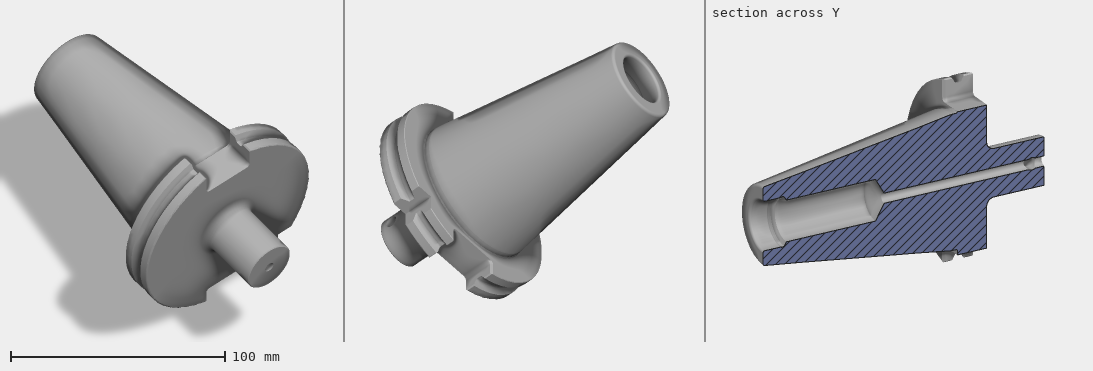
import cadquery as cq
import math


gauge_x = 101.5
flange_start_x = 104.8
flange_end_x = 120.7
total_length = 151.6
flange_width = flange_end_x - flange_start_x

gauge_radius = 69.9 / 2
taper_ratio = 7 / 24
nose_radius = gauge_radius - gauge_x * taper_ratio / 2
nose_fillet = 1.5
root_fillet = 0.6

flange_radius = 97.3 / 2
flange_front_chamfer = 0.3
flange_back_fillet = 0.8
groove_center_x = 112.6
groove_floor_width = 3.0
groove_depth = 3.2
groove_half_angle = math.radians(30)
groove_fillet = 0.8
groove_floor_radius = flange_radius - groove_depth

slot_width = 25.8
slot_floor_top = 35.5
slot_floor_bottom = 37.7
slot_fillet = 2.0
slot_face_chamfer = 1.0
slot_rim_chamfer = 0.8

notch_corner = 29.9

shank_radius = 25.0 / 2
shank_fillet = 3.8
shank_end_chamfer = 0.5

bore_radius = 25.0 / 2
bore_mouth_fillet = 1.2
relief_radius = 25.5 / 2
relief_start_x = 9.5
relief_slope_length = 0.6
relief_floor_length = 0.8
thread_hole_radius = 21.0 / 2
thread_hole_end_x = 60.6
drill_half_angle = math.radians(60)
coolant_diameter = 5.0

side_hole_diameter = 6.0
side_hole_x = 145.0


def revolve_about_x(profile):
    return profile.close().revolve(360, (0, 0, 0), (1, 0, 0))


def make_taper():
    cone = revolve_about_x(
        cq.Workplane("XY")
        .lineTo(0, nose_radius)
        .lineTo(gauge_x, gauge_radius)
        .lineTo(flange_start_x, gauge_radius)
        .lineTo(flange_start_x, 0)
    )
    cone = cone.faces("<X").edges().fillet(nose_fillet)
    root = revolve_about_x(
        cq.Workplane("XY")
        .moveTo(flange_start_x, gauge_radius)
        .lineTo(flange_start_x - root_fillet, gauge_radius)
        .radiusArc((flange_start_x, gauge_radius + root_fillet), -root_fillet)
    )
    return cone.union(root)


def make_flange():
    disc = (
        cq.Workplane("YZ", origin=(flange_start_x, 0, 0))
        .circle(flange_radius)
        .extrude(flange_width)
    )
    disc = disc.faces("<X").edges().chamfer(flange_front_chamfer)
    disc = disc.faces(">X").edges().fillet(flange_back_fillet)
    return disc.cut(make_v_groove())


def make_v_groove():
    half_floor = groove_floor_width / 2
    half_mouth = half_floor + groove_depth * math.tan(groove_half_angle)
    groove = revolve_about_x(
        cq.Workplane("XY")
        .moveTo(groove_center_x - half_mouth, flange_radius)
        .lineTo(groove_center_x - half_floor, groove_floor_radius)
        .lineTo(groove_center_x + half_floor, groove_floor_radius)
        .lineTo(groove_center_x + half_mouth, flange_radius)
    )
    floor_edges = cq.selectors.RadiusNthSelector(0)
    return groove.edges("%CIRCLE").edges(floor_edges).fillet(groove_fillet)


def make_shank():
    return revolve_about_x(
        cq.Workplane("XY")
        .moveTo(flange_end_x, 0)
        .lineTo(flange_end_x, shank_radius + shank_fillet)
        .radiusArc((flange_end_x + shank_fillet, shank_radius), -shank_fillet)
        .lineTo(total_length - shank_end_chamfer, shank_radius)
        .lineTo(total_length, shank_radius - shank_end_chamfer)
        .lineTo(total_length, 0)
    )


def slot_section(x, width, floor):
    half = width / 2
    return (
        cq.Workplane("YZ", origin=(x, 0, 0))
        .moveTo(-half, flange_radius)
        .lineTo(-half, floor + slot_fillet)
        .radiusArc((-half + slot_fillet, floor), -slot_fillet)
        .lineTo(half - slot_fillet, floor)
        .radiusArc((half, floor + slot_fillet), -slot_fillet)
        .lineTo(half, flange_radius)
        .close()
    )


def make_slot(floor):
    """Slot cutter on the +Z side, with chamfers at the front face and at the flange rim."""
    slot = slot_section(flange_start_x, slot_width, floor).extrude(flange_width)

    wide_width = slot_width + 2 * slot_face_chamfer
    wide = slot_section(flange_start_x, wide_width, floor).wires().val()
    narrow = slot_section(flange_start_x + slot_face_chamfer, slot_width, floor).wires().val()
    face_chamfer = cq.Workplane(cq.Solid.makeLoft([wide, narrow], True))

    half = slot_width / 2
    rim_bottom = math.sqrt(flange_radius**2 - half**2) - slot_rim_chamfer
    rim_half = half + flange_radius - rim_bottom
    rim_chamfer = (
        cq.Workplane("YZ", origin=(flange_start_x, 0, 0))
        .moveTo(-half, rim_bottom)
        .lineTo(half, rim_bottom)
        .lineTo(rim_half, flange_radius)
        .lineTo(-rim_half, flange_radius)
        .close()
        .extrude(flange_width)
    )
    return slot.union(face_chamfer).union(rim_chamfer)


def make_notch():
    size = flange_radius - notch_corner
    center = notch_corner + size / 2
    return (
        cq.Workplane("YZ", origin=(flange_start_x, 0, 0))
        .center(center, -center)
        .rect(size, size)
        .extrude(flange_width)
    )


def make_bore():
    relief_floor_x = relief_start_x + relief_slope_length
    relief_floor_end_x = relief_floor_x + relief_floor_length
    relief_end_x = relief_floor_end_x + relief_slope_length
    shoulder_length = (bore_radius - thread_hole_radius) / math.tan(drill_half_angle)
    tip_length = thread_hole_radius / math.tan(drill_half_angle)
    return revolve_about_x(
        cq.Workplane("XY")
        .lineTo(0, bore_radius + bore_mouth_fillet)
        .radiusArc((bore_mouth_fillet, bore_radius), -bore_mouth_fillet)
        .lineTo(relief_start_x, bore_radius)
        .lineTo(relief_floor_x, relief_radius)
        .lineTo(relief_floor_end_x, relief_radius)
        .lineTo(relief_end_x, bore_radius)
        .lineTo(relief_end_x + shoulder_length, thread_hole_radius)
        .lineTo(thread_hole_end_x, thread_hole_radius)
        .lineTo(thread_hole_end_x + tip_length, 0)
    )


def make_coolant_hole():
    return cq.Workplane("YZ").circle(coolant_diameter / 2).extrude(total_length)


def make_side_hole():
    return (
        cq.Workplane("XZ", origin=(side_hole_x, 0, 0))
        .circle(side_hole_diameter / 2)
        .extrude(-2 * shank_radius)
    )


def make_holder():
    flange = make_flange().cut(make_slot(slot_floor_top))
    flange = flange.cut(make_slot(slot_floor_bottom).rotate((0, 0, 0), (1, 0, 0), 180))
    flange = flange.cut(make_notch())
    holder = make_taper().union(flange).union(make_shank())
    return holder.cut(make_bore()).cut(make_coolant_hole()).cut(make_side_hole())


holder = make_holder()

result = cq.Compound.makeCompound([holder.val()])